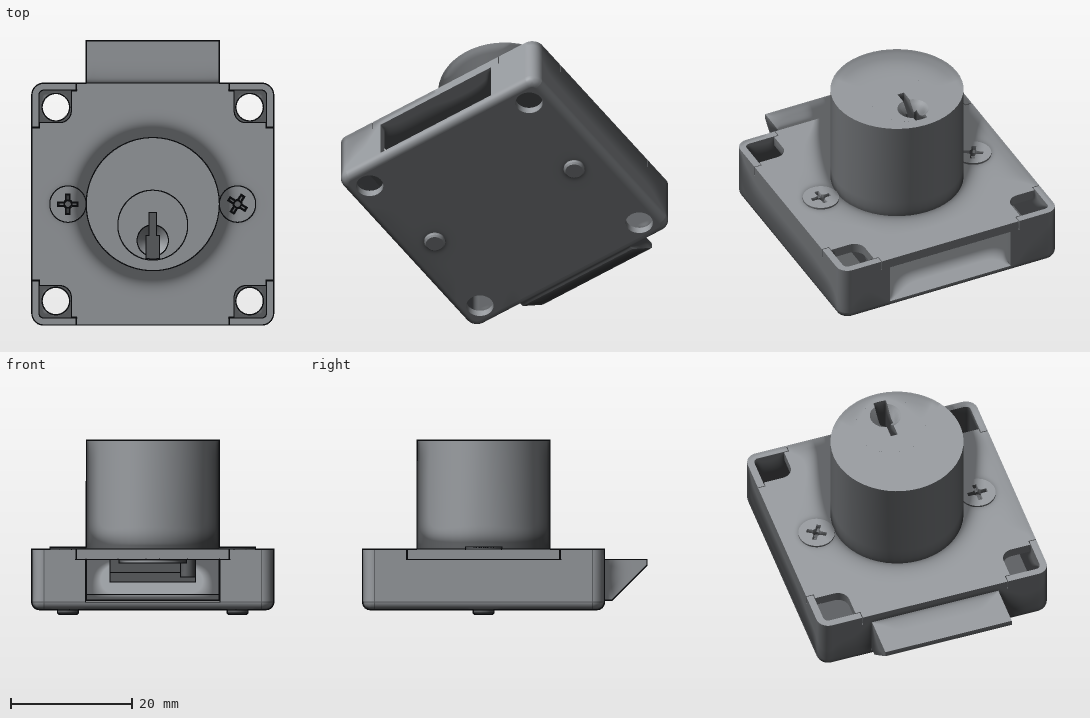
import cadquery as cq


OVERALL_LENGTH = 47.0

CASE_SIDE = 40.0
CASE_HEIGHT = 10.0
WALL = 1.18
CORNER_RADIUS = 2.0
BOTTOM_FILLET = 1.3
FLOOR = BOTTOM_FILLET
INNER_SIDE = CASE_SIDE - 2 * WALL
MOUNT_PITCH = 32.0
MOUNT_HOLE_DIAMETER = 4.5

COVER_THICKNESS = 1.7
COVER_UNDERSIDE = CASE_HEIGHT - COVER_THICKNESS
TAB_WIDTH = 25.15
COVER_GAP = 0.15
CORNER_CUTOUT_OFFSET = 13.45
CORNER_CUTOUT_RADIUS = 1.97
BARREL_DIAMETER = 22.0
BARREL_HEIGHT = 18.0
TOP_Z = CASE_HEIGHT + BARREL_HEIGHT

PLUG_DIAMETER = 11.55
PLUG_Y = -3.5
KEY_CONE_RADIUS = 2.6
KEY_CONE_Y = -6.0
BLADE_SLOT_WIDTH = 1.18
BLADE_SLOT_END_Y = -1.4
KEYWAY_WIDTH = 2.15
KEYWAY_STEP_Y = -5.15
PLUG_EDGE_Y = PLUG_Y - PLUG_DIAMETER / 2

CAM_DIAMETER = 11.2
CAM_THICKNESS = 0.6
PIN_DIAMETER = 2.45
PIN_LENGTH = 2.9
PIN_X = 5.8
PIN_Y = PLUG_Y + 1.9

BOLT_WIDTH = 22.0
BOLT_HEIGHT = 6.75
BOLT_BOTTOM = COVER_UNDERSIDE - BOLT_HEIGHT
BOLT_TIP_Y = OVERALL_LENGTH - CASE_SIDE / 2
BOLT_TAIL_Y = -11.9
BOLT_LAND = 1.0
BEVEL_RUN = BOLT_HEIGHT - BOLT_LAND
POCKET_WIDTH = 14.1
POCKET_DEPTH = 3.7
POCKET_END_Y = PIN_Y + 1.9
LEDGE_DEPTH = 2.15
LEDGE_END_Y = POCKET_END_Y + 3.3
WINDOW_WIDTH = 22.2

SCREW_X = 14.0
SCREW_HEAD_DIAMETER = 6.0
SCREW_HEAD_HEIGHT = 0.35
SCREW_SHANK_DIAMETER = 3.5
SCREW_TIP_LENGTH = 0.8
SCREW_TIP_CHAMFER = 0.3
HEAD_CONE_HEIGHT = (SCREW_HEAD_DIAMETER - SCREW_SHANK_DIAMETER) / 2
CROSS_LENGTH = 3.4
CROSS_WIDTH = 0.75
CROSS_DEPTH = 0.65
CROSS_TAPER = 15
CROSS_CENTER_DIAMETER = 1.5
CROSS_CENTER_TIP_DIAMETER = 1.15
CROSS_CENTER_DEPTH = 1.18
SCREW_TURNS = {-SCREW_X: 0, SCREW_X: -32}


def box(x_range, y_range, z_range):
    """Axis-aligned block given by its limits on each axis."""
    (x0, x1), (y0, y1), (z0, z1) = x_range, y_range, z_range
    return cq.Workplane().box(x1 - x0, y1 - y0, z1 - z0, centered=False).translate((x0, y0, z0))


def cylinder(diameter, z0, z1, x=0, y=0):
    """Upright cylinder between two heights."""
    return cq.Workplane().circle(diameter / 2).extrude(z1 - z0).translate((x, y, z0))


def block(width, depth, z0, z1):
    """Block centred on the Z axis between two heights."""
    return box((-width / 2, width / 2), (-depth / 2, depth / 2), (z0, z1))


def make_case():
    """Open-topped square case with rim notches for the cover tabs and windows for the bolt."""
    case = block(CASE_SIDE, CASE_SIDE, 0, CASE_HEIGHT).edges("|Z").fillet(CORNER_RADIUS)
    case = case.faces("<Z").edges().fillet(BOTTOM_FILLET)
    cavity = block(INNER_SIDE, INNER_SIDE, FLOOR, CASE_HEIGHT).edges("|Z").fillet(CORNER_RADIUS - WALL)
    case = case.cut(cavity)

    notch_width = TAB_WIDTH + 2 * COVER_GAP
    case = case.cut(block(notch_width, CASE_SIDE, COVER_UNDERSIDE, CASE_HEIGHT))
    case = case.cut(block(CASE_SIDE, notch_width, COVER_UNDERSIDE, CASE_HEIGHT))
    case = case.cut(block(WINDOW_WIDTH, CASE_SIDE, FLOOR, CASE_HEIGHT))

    mount_holes = cq.Workplane().rect(MOUNT_PITCH, MOUNT_PITCH, forConstruction=True).vertices()
    case = case.cut(mount_holes.circle(MOUNT_HOLE_DIAMETER / 2).extrude(FLOOR))
    for x in SCREW_TURNS:
        case = case.cut(cylinder(SCREW_SHANK_DIAMETER, 0, FLOOR, x))
    return case


def make_cover():
    """Cover plate with four edge tabs, open corners and the barrel that holds the plug."""
    plate_side = INNER_SIDE - 2 * COVER_GAP
    corner_side = plate_side / 2 - CORNER_CUTOUT_OFFSET
    corner_center = CORNER_CUTOUT_OFFSET + corner_side
    cover = block(plate_side, plate_side, COVER_UNDERSIDE, CASE_HEIGHT)
    corners = (
        cq.Workplane()
        .rect(2 * corner_center, 2 * corner_center, forConstruction=True)
        .vertices()
        .rect(2 * corner_side, 2 * corner_side)
        .extrude(CASE_HEIGHT)
        .edges("|Z")
        .fillet(CORNER_CUTOUT_RADIUS)
    )
    cover = cover.cut(corners)
    cover = cover.union(block(TAB_WIDTH, CASE_SIDE, COVER_UNDERSIDE, CASE_HEIGHT))
    cover = cover.union(block(CASE_SIDE, TAB_WIDTH, COVER_UNDERSIDE, CASE_HEIGHT))
    cover = cover.union(cylinder(BARREL_DIAMETER, COVER_UNDERSIDE, TOP_Z))
    cover = cover.cut(cylinder(PLUG_DIAMETER, COVER_UNDERSIDE, TOP_Z, y=PLUG_Y))
    for x in SCREW_TURNS:
        cover = cover.cut(screw_body().translate((x, 0, 0)))
    return cover


def make_plug():
    """Plug with a stepped keyway along its full length and a conical key entry."""
    plug = cylinder(PLUG_DIAMETER, COVER_UNDERSIDE, TOP_Z, y=PLUG_Y)
    cone = cq.Solid.makeCone(0, KEY_CONE_RADIUS, KEY_CONE_RADIUS)
    plug = plug.cut(cq.Workplane(cone).translate((0, KEY_CONE_Y, TOP_Z - KEY_CONE_RADIUS)))
    z_range = (COVER_UNDERSIDE, TOP_Z)
    for width, end_y in ((BLADE_SLOT_WIDTH, BLADE_SLOT_END_Y), (KEYWAY_WIDTH, KEYWAY_STEP_Y)):
        plug = plug.cut(box((-width / 2, width / 2), (PLUG_EDGE_Y, end_y), z_range))
    return plug


def make_cam():
    """Cam disc under the plug, with the pin that drives the bolt."""
    disc = cylinder(CAM_DIAMETER, COVER_UNDERSIDE - CAM_THICKNESS, COVER_UNDERSIDE, y=PLUG_Y)
    return disc.union(cylinder(PIN_DIAMETER, COVER_UNDERSIDE - PIN_LENGTH, COVER_UNDERSIDE, PIN_X, PIN_Y))


def make_bolt():
    """Bolt with a bevelled tip, a parallel bevel at the tail and a stepped pocket for the cam."""
    profile = [
        (BOLT_TAIL_Y, BOLT_BOTTOM),
        (BOLT_TIP_Y - BEVEL_RUN, BOLT_BOTTOM),
        (BOLT_TIP_Y, COVER_UNDERSIDE - BOLT_LAND),
        (BOLT_TIP_Y, COVER_UNDERSIDE),
        (BOLT_TAIL_Y + BEVEL_RUN, COVER_UNDERSIDE),
        (BOLT_TAIL_Y, BOLT_BOTTOM + BOLT_LAND),
    ]
    bolt = cq.Workplane("YZ").polyline(profile).close().extrude(BOLT_WIDTH / 2, both=True)
    x_range = (-POCKET_WIDTH / 2, POCKET_WIDTH / 2)
    for depth, end_y in ((POCKET_DEPTH, POCKET_END_Y), (LEDGE_DEPTH, LEDGE_END_Y)):
        bolt = bolt.cut(box(x_range, (BOLT_TAIL_Y, end_y), (COVER_UNDERSIDE - depth, COVER_UNDERSIDE)))
    return bolt


def screw_body():
    """Countersunk screw on the Z axis, without its driver recess."""
    head_radius = SCREW_HEAD_DIAMETER / 2
    shank_radius = SCREW_SHANK_DIAMETER / 2
    profile = [
        (0, -SCREW_TIP_LENGTH),
        (shank_radius - SCREW_TIP_CHAMFER, -SCREW_TIP_LENGTH),
        (shank_radius, SCREW_TIP_CHAMFER - SCREW_TIP_LENGTH),
        (shank_radius, CASE_HEIGHT - HEAD_CONE_HEIGHT),
        (head_radius, CASE_HEIGHT),
        (head_radius, CASE_HEIGHT + SCREW_HEAD_HEIGHT),
        (0, CASE_HEIGHT + SCREW_HEAD_HEIGHT),
    ]
    return cq.Workplane("XZ").polyline(profile).close().revolve(360, (0, 0), (0, 1))


def make_screw(x, turn):
    """Screw at one side of the barrel, its tapered cross recess turned about its axis."""
    head_top = CASE_HEIGHT + SCREW_HEAD_HEIGHT
    recess = cq.Workplane(
        cq.Solid.makeCone(CROSS_CENTER_DIAMETER / 2, CROSS_CENTER_TIP_DIAMETER / 2, CROSS_CENTER_DEPTH)
    )
    for length, width in ((CROSS_LENGTH, CROSS_WIDTH), (CROSS_WIDTH, CROSS_LENGTH)):
        recess = recess.union(cq.Workplane().rect(length, width).extrude(CROSS_DEPTH, taper=CROSS_TAPER))
    recess = recess.mirror("XY").translate((0, 0, head_top))
    recess = recess.rotate((0, 0, 0), (0, 0, 1), turn)
    return screw_body().cut(recess).translate((x, 0, 0))


case = make_case()
cover = make_cover()
plug = make_plug()
cam = make_cam()
bolt = make_bolt()
screws = [make_screw(x, turn) for x, turn in SCREW_TURNS.items()]

result = cq.Compound.makeCompound(
    [case.val(), cover.val(), plug.val(), cam.val(), bolt.val(), *[screw.val() for screw in screws]]
)